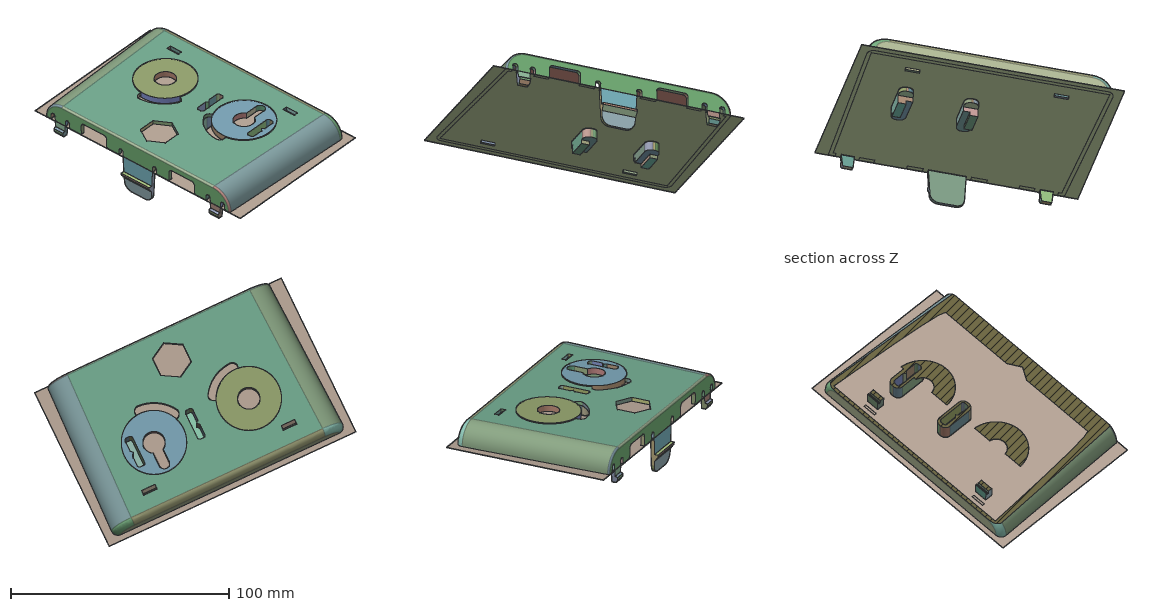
import cadquery as cq
import math

sheet_width = 125.0
sheet_depth = 79.8
sheet_thickness = 0.2
tilt_deg = 1.0

cover_front = 0.1
cover_rear = 77.1
cover_height = 10.0
front_half_width = 56.1
rear_half_width = 58.6
wall = 1.9
front_edge_radius = 0.9
rear_edge_radius = 3.2

disc_x = 24.0
disc_y = 46.6
disc_radius = 15.0
disc_rise = 0.5
disc_thickness = 3.0
disc_bore_radius = 5.1
keyhole_width = 4.9
keyhole_reach = 13.5
recess_radius = 18.8
recess_depth = 2.8
recess_corner_radius = 2.6
recess_start_deg = -97.0
recess_end_deg = -22.0

hexagon_y = 15.1
hexagon_corner_diameter = 17.8

slot_mirror_x = 18.5
slot_offset = 15.2
slot_y = 46.6
slot_width = 3.8
slot_length = 15.0
slot_corner_radius = 1.1
slot_notch = 1.1
slot_floor = 1.2
sleeve_outer_offset = 19.0
sleeve_width = 7.0
sleeve_front = 37.8
sleeve_rear = 56.0
sleeve_corner_radius = 3.0
sleeve_top_gap = 0.5
sleeve_drop = 4.0
sleeve_rear_drop = 1.5
sleeve_foot_width = 3.9
sleeve_foot_front = 41.9
sleeve_foot_rear = 52.1
sleeve_foot_drop = 5.9

latch_x = 35.4
latch_length = 6.8
latch_front = 64.5
latch_width = 2.4
latch_ramp_length = 1.5
latch_ramp_drop = 1.1
latch_depth = 4.4
latch_rib_wall = 0.8
latch_rib_bottom = 2.0
peg_front = 68.5
peg_width = 1.1
peg_drop = 1.1

window_x = 26.8
window_width = 15.5
window_height = 6.5
window_corner_radius = 1.8
relief_width = 2.5
relief_height = 3.5
relief_corner_radius = 1.19

tongue_top_half_width = 9.0
tongue_tip_half_width = 8.0
tongue_drop = 18.2
tongue_corner_radius = 4.2
tongue_tip_inset = 0.6
catch_reach = 1.8
catch_top = 8.2
catch_lip_bottom = 9.2
catch_bottom = 11.6
clip_x = 47.2
clip_top_half_width = 3.1
clip_tip_half_width = 2.5
clip_drop = 6.5
clip_corner_radius = 0.6
clip_reach = 1.2
clip_catch_top = 3.0
clip_lip_top = 3.5
clip_lip_bottom = 4.8


def arch_face(half_width, radius, y):
    """Wire of an arch at depth y: flat base, flat roof, quarter-round sides."""
    flat = half_width - radius
    diagonal = radius * math.sqrt(0.5)
    return (
        cq.Workplane("XZ", origin=(0, y, 0))
        .moveTo(-half_width, 0)
        .threePointArc((-flat - diagonal, diagonal), (-flat, radius))
        .lineTo(flat, radius)
        .threePointArc((flat + diagonal, diagonal), (half_width, 0))
        .close()
        .val()
    )


def arch_loft(radius, inset, y_front, y_rear):
    """Solid between the front and rear arches, following the side taper."""
    taper = (rear_half_width - front_half_width) / (cover_rear - cover_front)
    wires = []
    for y in (y_front, y_rear):
        half_width = front_half_width + taper * (y - cover_front) - inset
        wires.append(arch_face(half_width, radius, y))
    return cq.Workplane(obj=cq.Solid.makeLoft(wires, True))


def block(x, y_front, y_rear, width, z_bottom, z_top):
    """Box centred on x between the given Y and Z limits."""
    size = (width, y_rear - y_front, z_top - z_bottom)
    return cq.Workplane().box(*size, centered=(True, False, False)).translate((x, y_front, z_bottom))


def make_cover():
    """Hollow cover, open below, with its front and rear edges rounded."""
    outer = arch_loft(cover_height, 0, cover_front, cover_rear)
    outer = outer.faces(">Y").edges("not <Z").fillet(rear_edge_radius)
    outer = outer.faces("<Y").edges("not <Z").fillet(front_edge_radius)
    cavity = arch_loft(cover_height - wall, wall, cover_front + wall, cover_rear - wall)
    return outer.cut(cavity)


def thumb_recess(x):
    """Cutter for the curved recess outside a disc, on the side nearer X = 0."""
    def at(radius, angle_deg):
        angle = math.radians(angle_deg)
        return (radius * math.cos(angle), radius * math.sin(angle))

    inner_radius = disc_radius - recess_corner_radius
    middle_deg = (recess_start_deg + recess_end_deg) / 2
    cutter = (
        cq.Workplane()
        .moveTo(*at(inner_radius, recess_start_deg))
        .lineTo(*at(recess_radius, recess_start_deg))
        .threePointArc(at(recess_radius, middle_deg), at(recess_radius, recess_end_deg))
        .lineTo(*at(inner_radius, recess_end_deg))
        .threePointArc(at(inner_radius, middle_deg), at(inner_radius, recess_start_deg))
        .close()
        .extrude(2 * recess_depth)
        .edges("|Z")
        .fillet(recess_corner_radius)
    )
    if x > 0:
        cutter = cutter.mirror("YZ")
    return cutter.translate((x, disc_y, cover_height - recess_depth))


def disc_cylinder(x, radius):
    top = cover_height + disc_rise
    disc = cq.Workplane().circle(radius).extrude(disc_thickness)
    return disc.translate((x, disc_y, top - disc_thickness))


def add_discs(cover):
    """Two bored discs; the bore of the right one extends rearward as a keyhole."""
    for x in (-disc_x, disc_x):
        cover = cover.cut(thumb_recess(x))
        cover = cover.union(disc_cylinder(x, disc_radius)).cut(disc_cylinder(x, disc_bore_radius))
    straight = keyhole_reach - keyhole_width / 2
    keyhole = (
        cq.Workplane(origin=(disc_x, disc_y + straight / 2, wall))
        .slot2D(straight + keyhole_width, keyhole_width, 90)
        .extrude(2 * cover_height)
    )
    return cover.cut(keyhole)


def cut_hexagon(cover):
    hexagon = (
        cq.Workplane(origin=(0, hexagon_y, cover_height / 2))
        .transformed(rotate=(0, 0, 90))
        .polygon(6, hexagon_corner_diameter)
        .extrude(cover_height)
    )
    return cover.cut(hexagon)


def add_latches(cover):
    """Ramped pockets, each in a rib under the roof, with a peg below the sheet."""
    rear = latch_front + latch_width
    groove_front = latch_front + latch_ramp_length
    groove_bottom = cover_height - latch_depth
    profile = [
        (latch_front, cover_height),
        (rear, cover_height),
        (rear, groove_bottom),
        (groove_front, groove_bottom),
        (groove_front, cover_height - latch_ramp_drop),
    ]
    rib_limits = (latch_front - latch_rib_wall, rear + latch_rib_wall)
    for x in (-latch_x, latch_x):
        rib = block(x, *rib_limits, latch_length, latch_rib_bottom, cover_height - wall / 2)
        pocket = cq.Workplane("YZ", origin=(x, 0, 0)).polyline(profile).close()
        pocket = pocket.extrude(latch_length / 2, both=True)
        peg = block(x, peg_front, peg_front + peg_width, latch_length, -sheet_thickness - peg_drop, 0)
        cover = cover.union(rib).union(peg).cut(pocket)
    return cover


def make_sleeve(side):
    """Sleeve around one slot, with a stepped lower end and a foot flush with its outer face."""
    outer_x = slot_mirror_x + side * sleeve_outer_offset
    x = outer_x - side * sleeve_width / 2
    top = cover_height - sleeve_top_gap
    sleeve = block(x, sleeve_front, sleeve_rear, sleeve_width, -sleeve_drop, top)
    sleeve = sleeve.edges("|Z").fillet(sleeve_corner_radius)
    step = block(x, sleeve_foot_rear, sleeve_rear, sleeve_width, -sleeve_drop, -sleeve_rear_drop)
    foot_x = outer_x - side * sleeve_foot_width / 2
    foot = block(foot_x, sleeve_foot_front, sleeve_foot_rear, sleeve_foot_width, -sleeve_foot_drop, 0)
    return sleeve.cut(step).union(foot)


def slot_cutter(side):
    """Rounded slot with a pointed notch in its outer long side; its floor is above the sheet."""
    x = slot_mirror_x + side * slot_offset
    half_length = slot_length / 2
    top = 2 * cover_height
    slot = block(x, slot_y - half_length, slot_y + half_length, slot_width, slot_floor, top)
    slot = slot.edges("|Z").fillet(slot_corner_radius)
    edge_x = x + side * slot_width / 2
    notch = [
        (edge_x, slot_y - slot_notch),
        (edge_x - side * slot_notch, slot_y),
        (edge_x, slot_y + slot_notch),
    ]
    return slot.cut(cq.Workplane().polyline(notch).close().extrude(top))


def wall_opening(x, width, height, corner_radius):
    """Cutter for an opening through the front wall, round at its upper corners."""
    opening = block(x, -wall, 2 * wall, width, 0, height)
    return opening.edges("|Y and >Z").fillet(corner_radius)


def cut_front_openings(cover):
    """Two windows, and a relief on each side of every tongue."""
    relief_half_width = relief_width / 2
    relief_places = [
        tongue_top_half_width + relief_half_width,
        clip_x - clip_top_half_width - relief_half_width,
        clip_x + clip_top_half_width + relief_half_width,
    ]
    for side in (-1, 1):
        window = wall_opening(side * window_x, window_width, window_height, window_corner_radius)
        cover = cover.cut(window)
        for x in relief_places:
            cover = cover.cut(wall_opening(side * x, relief_width, relief_height, relief_corner_radius))
    return cover


def hanging_tongue(side_profile, top_half_width, tip_half_width, drop, corner_radius):
    """Tongue with the given YZ profile, narrowed to a tapered outline with rounded lower corners."""
    bar = side_profile.close().extrude(top_half_width, both=True)
    outline = [
        (-top_half_width, 0),
        (top_half_width, 0),
        (tip_half_width, -drop),
        (-tip_half_width, -drop),
    ]
    blank = cq.Workplane("XZ").polyline(outline).close().extrude(2 * wall, both=True)
    return bar.intersect(blank.edges("|Y and <Z").fillet(corner_radius))


def make_center_tongue():
    """Long tongue with a wedge-shaped catch on its front and a tip that thins downward."""
    side_profile = (
        cq.Workplane("YZ")
        .moveTo(0, 0)
        .lineTo(wall, 0)
        .lineTo(wall, -tongue_drop)
        .lineTo(tongue_tip_inset, -tongue_drop)
        .lineTo(0, -catch_bottom)
        .lineTo(-catch_reach, -catch_lip_bottom)
        .lineTo(-catch_reach, -catch_top)
        .lineTo(0, -catch_top)
    )
    return hanging_tongue(
        side_profile, tongue_top_half_width, tongue_tip_half_width, tongue_drop, tongue_corner_radius
    )


def make_clip(x):
    """Short tongue with a small hooked catch at its tip."""
    side_profile = (
        cq.Workplane("YZ")
        .moveTo(0, 0)
        .lineTo(wall, 0)
        .lineTo(wall, -clip_drop)
        .lineTo(0, -clip_drop)
        .lineTo(-clip_reach, -clip_lip_bottom)
        .lineTo(-clip_reach, -clip_lip_top)
        .lineTo(0, -clip_catch_top)
    )
    clip = hanging_tongue(
        side_profile, clip_top_half_width, clip_tip_half_width, clip_drop, clip_corner_radius
    )
    return clip.translate((x, 0, 0))


def tilted(part):
    """Raise the rear by turning about the front edge of the sheet."""
    return part.rotate((0, 0, 0), (1, 0, 0), tilt_deg)


sheet = block(0, 0, sheet_depth, sheet_width, -sheet_thickness, 0)
cover = cut_hexagon(add_latches(add_discs(make_cover())))
part = tilted(sheet.union(cut_front_openings(cover)))

for side in (-1, 1):
    part = part.union(make_sleeve(side)).cut(slot_cutter(side))

part = part.union(make_center_tongue())
for x in (-clip_x, clip_x):
    part = part.union(make_clip(x))

result = part